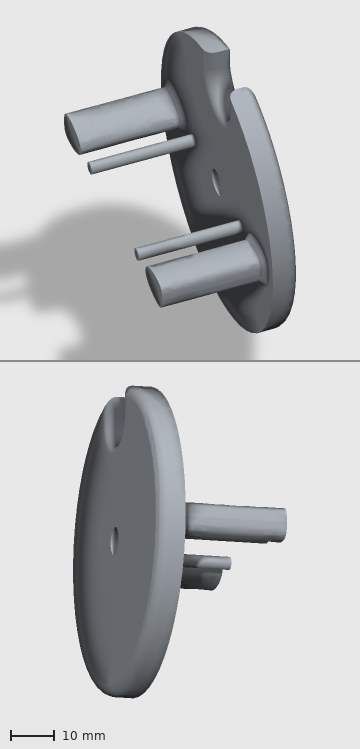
import cadquery as cq

plate_radius = 35.55
plate_thickness = 6.4
rim_fillet = 2.5
center_hole_diameter = 6.4

notch_radius = 6.3
notch_center_z = 29.2
notch_fillet = 2.55

reach = 25.3
post_outer_x = 31.15
post_length = 10.7
post_root_chamfer = 1.3
pin_diameter = 3.0
pin_x = 14.9
pin_drop = 0.3
post_drop = 0.1

egg_handle_height = 4.35
egg_crest_pull = 0.9


def make_disc():
    """Plain disc with a rounded back rim."""
    disc = cq.Workplane("XZ").circle(plate_radius).extrude(-plate_thickness)
    return disc.faces(">Y").edges().fillet(rim_fillet)


def make_notched_slab():
    """Square slab larger than the disc, with the rounded notch open at its top edge."""
    half_side = plate_radius + notch_fillet
    slab = (
        cq.Workplane("XZ")
        .moveTo(-notch_radius, half_side)
        .lineTo(-notch_radius, notch_center_z)
        .threePointArc((0, notch_center_z - notch_radius), (notch_radius, notch_center_z))
        .lineTo(notch_radius, half_side)
        .lineTo(half_side, half_side)
        .lineTo(half_side, -half_side)
        .lineTo(-half_side, -half_side)
        .lineTo(-half_side, half_side)
        .close()
        .extrude(-plate_thickness)
    )
    return slab.faces("<Y or >Y").edges("%CIRCLE").fillet(notch_fillet)


def make_plate():
    """Notched disc with a through hole in the middle."""
    plate = make_disc().intersect(make_notched_slab())
    hole = cq.Workplane("XZ").circle(center_hole_diameter / 2).extrude(-plate_thickness)
    return plate.cut(hole)


def make_post():
    """Egg-shaped post on the -X side, its blunt end facing outwards."""
    blunt_x = -post_outer_x
    narrow_x = post_length - post_outer_x
    upper = [
        (blunt_x, 0),
        (blunt_x, egg_handle_height),
        (blunt_x + egg_crest_pull, egg_handle_height),
        (narrow_x, egg_handle_height),
        (narrow_x, 0),
    ]
    lower = [(x, -z) for x, z in reversed(upper)]
    return (
        cq.Workplane("XZ", origin=(0, 0, -post_drop))
        .bezier(upper)
        .bezier(lower)
        .close()
        .extrude(reach)
    )


def add_posts(plate):
    """Join a mirrored pair of posts to the plate and flare their roots with a chamfer."""
    post = make_post()
    joined = plate.union(post).union(post.mirror("YZ"))
    roots = joined.faces("<Y[1]").edges("%BEZIER or %BSPLINE")
    return roots.chamfer(post_root_chamfer)


def make_pins():
    """Two thin round pins between the posts and the middle hole."""
    return (
        cq.Workplane("XZ")
        .pushPoints([(-pin_x, -pin_drop), (pin_x, -pin_drop)])
        .circle(pin_diameter / 2)
        .extrude(reach)
    )


result = add_posts(make_plate()).union(make_pins())